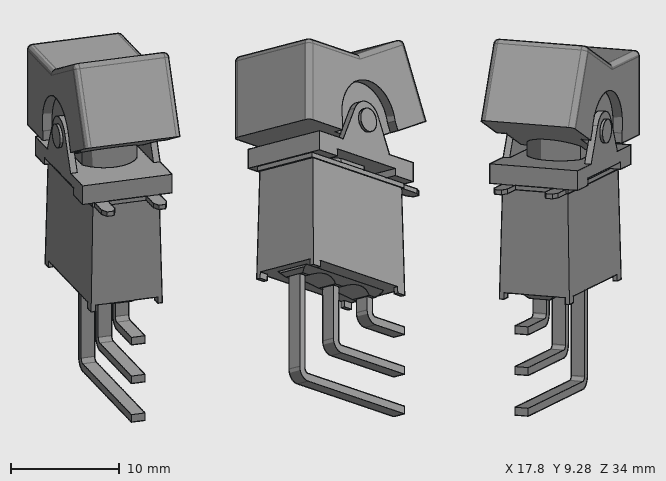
import cadquery as cq
import math


HOUSING_HEIGHT = 10.35
HOUSING_TOP_X = 12.38
HOUSING_TOP_Y = 6.45
HOUSING_BOTTOM_X = 12.7
HOUSING_BOTTOM_Y = 6.95
FOOT_HEIGHT = 0.6
FOOT_GAP_X = 10.75
FOOT_GAP_Y = 6.05

TERMINAL_PITCH = 4.7
TERMINAL_THICKNESS = 0.75
TERMINAL_WIDTH = 1.33
TERMINAL_END_X = 9.52
TERMINAL_DEPTHS = (20.4, 16.6, 12.8)
BEND_RADIUS = 0.4
RESIN_TOP_Y = 3.47
RESIN_BOTTOM_Y = 2.05
RESIN_TIP_HALF = 0.5
RESIN_VALLEY_DEPTH = 0.2

PLATE_THICKNESS = 0.45
PLATE_X = 12.8
PLATE_Y = 6.65
PRONG_END_X = 9.0
PRONG_WIDTH = 1.3
PRONG_OFFSET_Y = 2.5
PRONG_TIP_LENGTH = 0.65
PRONG_TIP_WIDTH = 0.65

BRACKET_X = 13.05
BRACKET_Y = 8.7
BRACKET_HEIGHT = 1.85
CHANNEL_X = 8.02
CHANNEL_HEIGHT = 0.68
EAR_BASE_HALF = 3.23
EAR_RADIUS = 1.8
EAR_THICKNESS = 0.65
PIVOT_ABOVE_BRACKET = 2.5
PIN_DIAMETER = 2.2
PIN_PROJECTION = 0.27

BUSHING_RADIUS = 3.1
BUSHING_WIDTH_Y = 5.3

ROCK_ANGLE = 12.5
ARM_LENGTH = 6.95
ARM_HEIGHT = 7.85
ROCKER_WIDTH = 9.28
ROCKER_FILLET = 0.5
VALLEY_ABOVE_PIVOT = 6.2
RECESS_RADIUS = 3.75
RECESS_HALF_WIDTH = 3.65

BRACKET_TOP = PLATE_THICKNESS + BRACKET_HEIGHT
PIVOT_Z = BRACKET_TOP + PIVOT_ABOVE_BRACKET
EAR_INNER_Y = BRACKET_Y / 2 - EAR_THICKNESS
FLOOR_Z = FOOT_HEIGHT - HOUSING_HEIGHT
TERMINAL_XS = (-TERMINAL_PITCH, 0, TERMINAL_PITCH)


def box(x_size, y_size, z_low, z_high):
    """Block centred on the switch axis between two heights."""
    return cq.Workplane("XY").workplane(offset=z_low).rect(x_size, y_size).extrude(z_high - z_low)


def extrude_y(outline, width):
    """Extrude an XZ outline symmetrically about the XZ plane."""
    return outline.extrude(width / 2, both=True)


def make_housing():
    body = (
        cq.Workplane("XY")
        .rect(HOUSING_TOP_X, HOUSING_TOP_Y)
        .workplane(offset=-HOUSING_HEIGHT)
        .rect(HOUSING_BOTTOM_X, HOUSING_BOTTOM_Y)
        .loft(ruled=True)
    )
    channel_along_y = box(FOOT_GAP_X, 2 * HOUSING_BOTTOM_Y, -HOUSING_HEIGHT, FLOOR_Z)
    channel_along_x = box(2 * HOUSING_BOTTOM_X, FOOT_GAP_Y, -HOUSING_HEIGHT, FLOOR_Z)
    return body.cut(channel_along_y).cut(channel_along_x)


def make_resin():
    """Resin ridge with a raised tip at each terminal and concave valleys between."""
    tip_z = -HOUSING_HEIGHT
    valley_z = FLOOR_Z - RESIN_VALLEY_DEPTH
    end_x = FOOT_GAP_X / 2
    outline = (
        cq.Workplane("XZ")
        .moveTo(-end_x, FLOOR_Z)
        .lineTo(-end_x, valley_z)
        .lineTo(TERMINAL_XS[0] - TERMINAL_THICKNESS / 2, tip_z)
    )
    for left_x, right_x in zip(TERMINAL_XS, TERMINAL_XS[1:]):
        outline = outline.lineTo(left_x + RESIN_TIP_HALF, tip_z).threePointArc(
            ((left_x + right_x) / 2, valley_z), (right_x - RESIN_TIP_HALF, tip_z)
        )
    outline = (
        outline.lineTo(TERMINAL_XS[-1] + TERMINAL_THICKNESS / 2, tip_z)
        .lineTo(end_x, valley_z)
        .lineTo(end_x, FLOOR_Z)
        .close()
    )
    tapered_sides = (
        cq.Workplane("YZ")
        .moveTo(-RESIN_TOP_Y / 2, FLOOR_Z)
        .lineTo(RESIN_TOP_Y / 2, FLOOR_Z)
        .lineTo(RESIN_BOTTOM_Y / 2, tip_z)
        .lineTo(-RESIN_BOTTOM_Y / 2, tip_z)
        .close()
        .extrude(end_x, both=True)
    )
    return extrude_y(outline, RESIN_TOP_Y).intersect(tapered_sides)


def make_terminal(center_x, depth):
    """L-shaped strip leaving the housing downwards and bent towards +X."""
    left_x = center_x - TERMINAL_THICKNESS / 2
    right_x = center_x + TERMINAL_THICKNESS / 2
    outline = (
        cq.Workplane("XZ")
        .moveTo(left_x, FLOOR_Z)
        .lineTo(left_x, -depth)
        .lineTo(TERMINAL_END_X, -depth)
        .lineTo(TERMINAL_END_X, TERMINAL_THICKNESS - depth)
        .lineTo(right_x, TERMINAL_THICKNESS - depth)
        .lineTo(right_x, FLOOR_Z)
        .close()
    )
    strip = extrude_y(outline, TERMINAL_WIDTH)
    outer_corner = cq.NearestToPointSelector((left_x, 0, -depth))
    inner_corner = cq.NearestToPointSelector((right_x, 0, TERMINAL_THICKNESS - depth))
    strip = strip.edges("|Y").edges(outer_corner).fillet(BEND_RADIUS + TERMINAL_THICKNESS)
    return strip.edges("|Y").edges(inner_corner).fillet(BEND_RADIUS)


def make_plate():
    plate = box(PLATE_X, PLATE_Y, 0, PLATE_THICKNESS)
    shoulder_x = PRONG_END_X - PRONG_TIP_LENGTH
    for center_y in (-PRONG_OFFSET_Y, PRONG_OFFSET_Y):
        prong = (
            cq.Workplane("XY")
            .moveTo(0, center_y - PRONG_WIDTH / 2)
            .lineTo(shoulder_x, center_y - PRONG_WIDTH / 2)
            .lineTo(PRONG_END_X, center_y - PRONG_TIP_WIDTH / 2)
            .lineTo(PRONG_END_X, center_y + PRONG_TIP_WIDTH / 2)
            .lineTo(shoulder_x, center_y + PRONG_WIDTH / 2)
            .lineTo(0, center_y + PRONG_WIDTH / 2)
            .close()
            .extrude(PLATE_THICKNESS)
        )
        plate = plate.union(prong)
    return plate


def make_bracket():
    base = box(BRACKET_X, BRACKET_Y, PLATE_THICKNESS, BRACKET_TOP)
    channel = box(CHANNEL_X, 2 * BRACKET_Y, PLATE_THICKNESS, PLATE_THICKNESS + CHANNEL_HEIGHT)

    base_distance = math.hypot(EAR_BASE_HALF, PIVOT_ABOVE_BRACKET)
    tangent_angle = math.acos(EAR_RADIUS / base_distance) - math.atan2(PIVOT_ABOVE_BRACKET, EAR_BASE_HALF)
    tangent_x = EAR_RADIUS * math.cos(tangent_angle)
    tangent_z = PIVOT_Z + EAR_RADIUS * math.sin(tangent_angle)
    ear_outline = (
        cq.Workplane("XZ")
        .moveTo(-EAR_BASE_HALF, BRACKET_TOP)
        .lineTo(EAR_BASE_HALF, BRACKET_TOP)
        .lineTo(tangent_x, tangent_z)
        .threePointArc((0, PIVOT_Z + EAR_RADIUS), (-tangent_x, tangent_z))
        .close()
    )
    between_ears = box(BRACKET_X, 2 * EAR_INNER_Y, BRACKET_TOP, PIVOT_Z + 2 * EAR_RADIUS)
    ears = extrude_y(ear_outline, BRACKET_Y).cut(between_ears)

    pin_outline = cq.Workplane("XZ").center(0, PIVOT_Z).circle(PIN_DIAMETER / 2)
    pin = extrude_y(pin_outline, BRACKET_Y + 2 * PIN_PROJECTION)
    return base.cut(channel).union(ears).union(pin)


def make_bushing():
    flats = box(2 * BUSHING_RADIUS, BUSHING_WIDTH_Y, 0, PIVOT_Z)
    return cq.Workplane("XY").circle(BUSHING_RADIUS).extrude(PIVOT_Z).intersect(flats)


def tilt_about_pivot(body, angle):
    """Turn a body about the Y axis through the origin; positive lowers the +X side."""
    return body.rotate((0, 0, 0), (0, 1, 0), angle)


def make_rocker():
    """Rocker modelled around its pivot, tilted and lifted into place at the end."""
    tilt = math.radians(ROCK_ANGLE)
    valley_x = -VALLEY_ABOVE_PIVOT * math.sin(tilt)
    arm_top = VALLEY_ABOVE_PIVOT * math.cos(tilt)

    blank_length = 2 * ARM_LENGTH
    arm = (
        box(blank_length, ROCKER_WIDTH, arm_top - ARM_HEIGHT, arm_top)
        .translate((valley_x - ARM_LENGTH + blank_length / 2, 0, 0))
        .edges(">Z or (<X and |Z)")
        .fillet(ROCKER_FILLET)
    )

    trim_size = 4 * ARM_LENGTH
    beyond_plane = box(trim_size, trim_size, -trim_size, trim_size).translate((trim_size / 2, 0, 0))
    half = tilt_about_pivot(arm, ROCK_ANGLE).cut(beyond_plane)
    rocker = half.union(half.mirror("YZ"))

    straight_part = box(RECESS_HALF_WIDTH, ROCKER_WIDTH, -ARM_HEIGHT, 0)
    straight_part = straight_part.translate((-RECESS_HALF_WIDTH / 2, 0, 0))
    straight_part = tilt_about_pivot(straight_part, ROCK_ANGLE)
    recess = extrude_y(cq.Workplane("XZ").circle(RECESS_RADIUS), ROCKER_WIDTH)
    recess = recess.union(straight_part).union(straight_part.mirror("YZ"))
    core = box(2 * blank_length, 2 * EAR_INNER_Y, -ARM_HEIGHT, ARM_HEIGHT)
    rocker = rocker.cut(recess.cut(core))
    return tilt_about_pivot(rocker, -ROCK_ANGLE).translate((0, 0, PIVOT_Z))


result = make_housing().union(make_resin())
for terminal_x, terminal_depth in zip(TERMINAL_XS, TERMINAL_DEPTHS):
    result = result.union(make_terminal(terminal_x, terminal_depth))
for component in (make_plate(), make_bushing(), make_bracket(), make_rocker()):
    result = result.union(component)